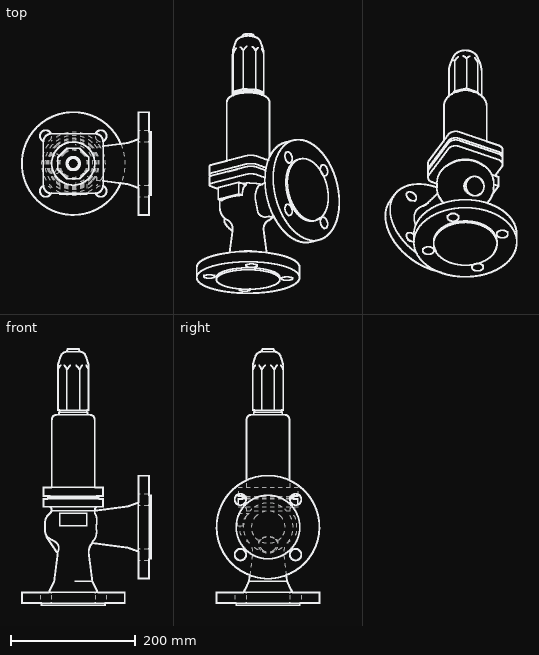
import cadquery as cq
import math

total_height = 410.5
flange_radius = 82.5
flange_back = 20.5
raised_face_radius = 51.0
raised_face_height = 3.3
bolt_circle_radius = 62.5
bolt_hole_diameter = 18.0
bolt_count = 4
bolt_start_angle = 180 / bolt_count

outlet_reach = 125.0
outlet_axis_z = 125.3

hub_base_radius = 39.5
inlet_hub_top = 38.0
inlet_hub_radius = 31.0
inlet_throat_z = 82.5
inlet_throat_radius = 25.0
outlet_hub_length = 37.5
outlet_hub_radius = 33.3
outlet_inner_radius = 21.8

throat_flare_z = 104.0
throat_flare_radius = 35.7
bulb_radius = 45.5
bulb_lower_z = 121.0
bulb_upper_z = 131.0
bulb_top_z = 147.0
bulb_top_radius = 37.8
neck_radius = 35.0
neck_z = 151.0
neck_flare = 4.0

plate_width = 95.5
plate_corner_radius = 12.7
lower_plate_bottom = 157.7
lower_plate_top = 170.5
upper_plate_bottom = 175.0
upper_plate_top = 189.0
seal_radius = 41.0
seal_top_radius = 36.5
seal_rim_height = 2.0

bonnet_radius = 34.5
bonnet_top = 305.0
bonnet_round = 8.0

cap_collar_radius = 23.0
cap_neck_radius = 21.8
cap_collar_top = 309.3
cap_bottom = 312.5
cap_sides = 8
cap_flats = 49.0
cap_corner_radius = cap_flats / 2 / math.cos(math.pi / cap_sides)
cap_skirt_z = 377.0
cap_dome_middle_z = 385.0
cap_dome_middle_radius = 24.5
cap_shoulder_z = 399.0
cap_shoulder_radius = 20.0
cap_crown_z = 406.0
cap_crown_radius = 11.0
spindle_tip_radius = 8.5

block_width = 43.5
block_bottom = 127.5
block_top = 147.0
block_front = 49.0
boss_radius = 15.5
boss_slope = 34.0
boss_face_x = -34.5
boss_face_z = 97.0
boss_length = 28.7


def flange(hub_length, hub_radius):
    """Flange on the XY plane, sealing face at z = 0, with its conical hub."""
    profile = (
        cq.Workplane("XZ")
        .lineTo(raised_face_radius, 0)
        .lineTo(raised_face_radius, raised_face_height)
        .lineTo(flange_radius, raised_face_height)
        .lineTo(flange_radius, flange_back)
        .lineTo(hub_base_radius, flange_back)
        .lineTo(hub_radius, hub_length)
        .lineTo(0, hub_length)
        .close()
    )
    bolt_holes = (
        cq.Workplane("XY")
        .polarArray(bolt_circle_radius, bolt_start_angle, 360, bolt_count)
        .circle(bolt_hole_diameter / 2)
        .extrude(flange_back)
    )
    return profile.revolve(360, (0, 0), (0, 1)).cut(bolt_holes)


def taper(start_z, start_radius, end_z, end_radius):
    """Solid cone stretch around the Z axis."""
    return (
        cq.Workplane("XZ")
        .moveTo(0, start_z)
        .lineTo(start_radius, start_z)
        .lineTo(end_radius, end_z)
        .lineTo(0, end_z)
        .close()
        .revolve(360, (0, 0), (0, 1))
    )


def inlet():
    pipe = taper(inlet_hub_top, inlet_hub_radius, inlet_throat_z, inlet_throat_radius)
    return flange(inlet_hub_top, inlet_hub_radius).union(pipe)


def outlet():
    pipe = taper(outlet_hub_length, outlet_hub_radius, outlet_reach, outlet_inner_radius)
    branch = flange(outlet_hub_length, outlet_hub_radius).union(pipe)
    return branch.rotate((0, 0, 0), (0, 1, 0), -90).translate((outlet_reach, 0, outlet_axis_z))


def housing():
    """Bulb and neck between the inlet throat and the lower clamping plate."""
    lower = (
        cq.Workplane("XZ")
        .moveTo(0, bulb_upper_z)
        .lineTo(bulb_radius, bulb_upper_z)
        .lineTo(bulb_radius, bulb_lower_z)
        .tangentArcPoint((throat_flare_radius, throat_flare_z), relative=False)
        .tangentArcPoint((inlet_throat_radius, inlet_throat_z), relative=False)
        .lineTo(0, inlet_throat_z)
        .close()
        .revolve(360, (0, 0), (0, 1))
    )
    fillet_sag = neck_flare * (1 - math.sqrt(0.5))
    upper = (
        cq.Workplane("XZ")
        .moveTo(0, bulb_lower_z)
        .lineTo(bulb_radius, bulb_lower_z)
        .lineTo(bulb_radius, bulb_upper_z)
        .tangentArcPoint((bulb_top_radius, bulb_top_z), relative=False)
        .tangentArcPoint((neck_radius, neck_z), relative=False)
        .lineTo(neck_radius, lower_plate_bottom - neck_flare)
        .threePointArc(
            (neck_radius + fillet_sag, lower_plate_bottom - fillet_sag),
            (neck_radius + neck_flare, lower_plate_bottom),
        )
        .lineTo(0, lower_plate_bottom)
        .close()
        .revolve(360, (0, 0), (0, 1))
    )
    return lower.union(upper)


def clamping_plate(bottom, top):
    return (
        cq.Workplane("XY", origin=(0, 0, bottom))
        .rect(plate_width, plate_width)
        .extrude(top - bottom)
        .edges("|Z")
        .fillet(plate_corner_radius)
    )


def seal():
    rim_top = lower_plate_top + seal_rim_height
    rim = taper(lower_plate_top, seal_radius, rim_top, seal_radius)
    return rim.union(taper(rim_top, seal_radius, upper_plate_bottom, seal_top_radius))


def bonnet():
    return (
        cq.Workplane("XY", origin=(0, 0, upper_plate_top))
        .circle(bonnet_radius)
        .extrude(bonnet_top - upper_plate_top)
        .faces(">Z")
        .edges()
        .fillet(bonnet_round)
    )


def cap():
    """Octagonal cap with a domed top, standing on a round collar."""
    octagon = (
        cq.Workplane("XY", origin=(0, 0, cap_bottom))
        .transformed(rotate=(0, 0, 180 / cap_sides))
        .polygon(cap_sides, 2 * cap_corner_radius)
        .extrude(total_height - cap_bottom)
    )
    dome = (
        cq.Workplane("XZ")
        .moveTo(0, cap_bottom)
        .lineTo(cap_corner_radius, cap_bottom)
        .lineTo(cap_corner_radius, cap_skirt_z)
        .threePointArc(
            (cap_dome_middle_radius, cap_dome_middle_z),
            (cap_shoulder_radius, cap_shoulder_z),
        )
        .tangentArcPoint((cap_crown_radius, cap_crown_z), relative=False)
        .lineTo(spindle_tip_radius, total_height)
        .lineTo(0, total_height)
        .close()
        .revolve(360, (0, 0), (0, 1))
    )
    collar = taper(bonnet_top, cap_collar_radius, cap_collar_top, cap_collar_radius)
    neck = taper(cap_collar_top, cap_neck_radius, cap_bottom, cap_neck_radius)
    return octagon.intersect(dome).union(collar).union(neck)


def name_block():
    """Plain block on the -Y side, running from its front face to the valve axis."""
    return (
        cq.Workplane("XY", origin=(0, -block_front / 2, block_bottom))
        .rect(block_width, block_front)
        .extrude(block_top - block_bottom)
    )


def drain_boss():
    """Round boss pointing outwards and down on the -X side of the bulb."""
    slope = math.radians(boss_slope)
    inward = cq.Vector(math.cos(slope), 0, math.sin(slope))
    face_centre = cq.Vector(boss_face_x, 0, boss_face_z)
    return cq.Workplane(cq.Solid.makeCylinder(boss_radius, boss_length, face_centre, inward))


result = (
    inlet()
    .union(housing())
    .union(outlet())
    .union(drain_boss())
    .union(name_block())
    .union(clamping_plate(lower_plate_bottom, lower_plate_top))
    .union(seal())
    .union(clamping_plate(upper_plate_bottom, upper_plate_top))
    .union(bonnet())
    .union(cap())
)